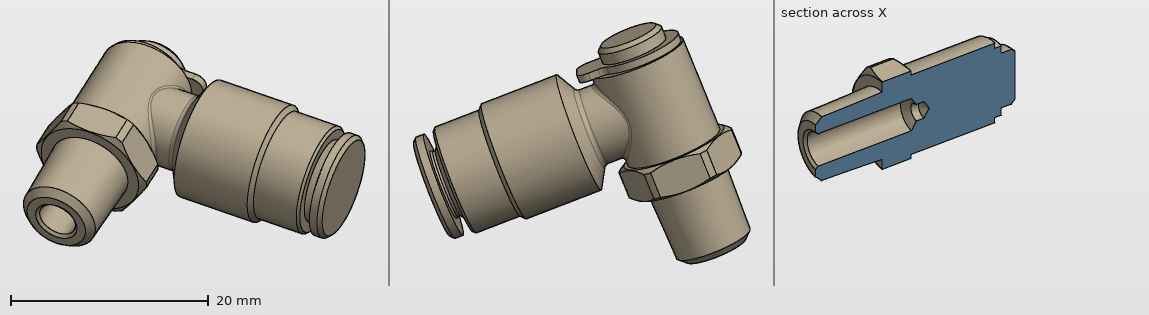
import cadquery as cq
import math


CAP_TOP = 7.52
CLIP_TOP = 5.87
BODY_TOP = 5.08
HEX_TOP = -4.95
HEX_BOTTOM = -8.5
STEM_LENGTH = 24.0
STEM_BOTTOM = CAP_TOP - STEM_LENGTH

CAP_DIA = 6.9
CAP_CHAMFER = 0.45
BODY_DIA = 10.0
HEX_FLATS = 11.0
HEX_CORNER_DIA = 12.25
HEX_FACE_DIA = 10.87
HEX_CHAMFER_ANGLE = 30
THREAD_DIA = 8.5
THREAD_TAPER = 1 / 16
THREAD_END_DIA = 6.5
THREAD_CHAMFER = 0.73

BORE_DIA = 4.0
BORE_MOUTH_DIA = 4.6
PILOT_DIA = 2.0
PILOT_DEPTH = 0.9
DRILL_POINT_ANGLE = 118

CLIP_RADIUS = 4.38
CLIP_CENTER_X = -0.4
TAB_END_X = 6.27
TAB_HALF_WIDTH = 2.3
TAB_CORNER_RADIUS = 1.25
TAB_ROOT_RADIUS = 1.2

SLEEVE_END = 30.45 - HEX_CORNER_DIA / 2
CONE_END = 8.35
SHOULDER_START = 16.5
SHOULDER_END = 16.95
COLLAR_END = 22.0
COLLAR_CHAMFER = 0.27
GROOVE_START = 22.55
GROOVE_END = 22.83
FLANGE_START = 23.07
FLANGE_CHAMFER = 0.4

NECK_DIA = 8.0
SLEEVE_DIA = 12.5
COLLAR_DIA = 11.5
GROOVE_MOUTH_DIA = 8.83
GROOVE_DIA = 7.1
GROOVE_RIM_DIA = 7.35
FLANGE_DIA = 11.0
CONE_ANGLE = 60
NECK_CONE_FILLET = 0.6
NECK_BODY_FILLET = 0.37


def turned_y(points):
    """Revolve an outline of (radius, y) points about the Y axis."""
    return cq.Workplane("XY").polyline(points).close().revolve(360, (0, 0, 0), (0, 1, 0))


def rod_y(diameter, bottom, top):
    """Plain cylinder along Y."""
    return turned_y([(0, bottom), (diameter / 2, bottom), (diameter / 2, top), (0, top)])


def make_cap():
    radius = CAP_DIA / 2
    return turned_y([
        (0, BODY_TOP),
        (radius, BODY_TOP),
        (radius, CAP_TOP - CAP_CHAMFER),
        (radius - CAP_CHAMFER, CAP_TOP),
        (0, CAP_TOP),
    ])


def make_clip():
    thickness = CLIP_TOP - BODY_TOP
    root_center_z = TAB_HALF_WIDTH + TAB_ROOT_RADIUS
    root_center_dx = math.sqrt((CLIP_RADIUS + TAB_ROOT_RADIUS) ** 2 - root_center_z ** 2)
    root_x = CLIP_CENTER_X + root_center_dx
    touch_ratio = CLIP_RADIUS / (CLIP_RADIUS + TAB_ROOT_RADIUS)
    touch_x = CLIP_CENTER_X + root_center_dx * touch_ratio
    touch_z = root_center_z * touch_ratio
    corner_x = TAB_END_X - TAB_CORNER_RADIUS
    corner_z = TAB_HALF_WIDTH - TAB_CORNER_RADIUS
    outline = (
        cq.Workplane("XZ")
        .moveTo(touch_x, touch_z)
        .threePointArc((CLIP_CENTER_X - CLIP_RADIUS, 0), (touch_x, -touch_z))
        .radiusArc((root_x, -TAB_HALF_WIDTH), TAB_ROOT_RADIUS)
        .lineTo(corner_x, -TAB_HALF_WIDTH)
        .radiusArc((TAB_END_X, -corner_z), -TAB_CORNER_RADIUS)
        .lineTo(TAB_END_X, corner_z)
        .radiusArc((corner_x, TAB_HALF_WIDTH), -TAB_CORNER_RADIUS)
        .lineTo(root_x, TAB_HALF_WIDTH)
        .radiusArc((touch_x, touch_z), TAB_ROOT_RADIUS)
        .close()
    )
    return outline.extrude(-thickness).translate((0, BODY_TOP, 0))


def make_hex():
    height = HEX_TOP - HEX_BOTTOM
    corner_diameter = HEX_FLATS / math.cos(math.radians(30))
    prism = (
        cq.Workplane("XZ", origin=(0, HEX_TOP, 0))
        .polygon(6, corner_diameter)
        .extrude(height)
    )
    face_radius = HEX_FACE_DIA / 2
    corner_radius = HEX_CORNER_DIA / 2
    drop = (corner_radius - face_radius) * math.tan(math.radians(HEX_CHAMFER_ANGLE))
    blank = turned_y([
        (0, HEX_BOTTOM),
        (face_radius, HEX_BOTTOM),
        (corner_radius, HEX_BOTTOM + drop),
        (corner_radius, HEX_TOP - drop),
        (face_radius, HEX_TOP),
        (0, HEX_TOP),
    ])
    return prism.intersect(blank)


def make_thread():
    chamfer_y = STEM_BOTTOM + THREAD_CHAMFER
    chamfer_dia = THREAD_DIA - (HEX_BOTTOM - chamfer_y) * THREAD_TAPER
    return turned_y([
        (0, HEX_BOTTOM),
        (THREAD_DIA / 2, HEX_BOTTOM),
        (chamfer_dia / 2, chamfer_y),
        (THREAD_END_DIA / 2, STEM_BOTTOM),
        (0, STEM_BOTTOM),
    ])


def make_bore():
    """Countersunk drilled bore that continues as a small pilot hole with a drill point."""
    slope = math.tan(math.radians(DRILL_POINT_ANGLE / 2))
    bore_radius = BORE_DIA / 2
    mouth_radius = BORE_MOUTH_DIA / 2
    pilot_radius = PILOT_DIA / 2
    bore_end = HEX_TOP
    pilot_start = bore_end + (bore_radius - pilot_radius) / slope
    pilot_end = pilot_start + PILOT_DEPTH
    return turned_y([
        (0, STEM_BOTTOM),
        (mouth_radius, STEM_BOTTOM),
        (bore_radius, STEM_BOTTOM + mouth_radius - bore_radius),
        (bore_radius, bore_end),
        (pilot_radius, pilot_start),
        (pilot_radius, pilot_end),
        (0, pilot_end + pilot_radius / slope),
    ])


def make_body_with_neck():
    """Round body and side neck, blended where they meet."""
    body = rod_y(BODY_DIA, HEX_TOP, BODY_TOP)
    neck = cq.Workplane("YZ").circle(NECK_DIA / 2).extrude(SHOULDER_START)
    joined = body.union(neck)
    reach = BODY_DIA / 2 + NECK_BODY_FILLET
    half_box = NECK_DIA / 2 + NECK_BODY_FILLET
    seam_box = cq.selectors.BoxSelector((0, -half_box, -half_box), (reach, half_box, half_box))
    return joined.edges(seam_box).fillet(NECK_BODY_FILLET)


def make_sleeve():
    neck_radius = NECK_DIA / 2
    sleeve_radius = SLEEVE_DIA / 2
    slope = math.radians(CONE_ANGLE)
    cone_start = CONE_END - (sleeve_radius - neck_radius) / math.tan(slope)
    tangent = NECK_CONE_FILLET * math.tan(slope / 2)
    fillet_start = (cone_start - tangent, neck_radius)
    fillet_end = (cone_start + tangent * math.cos(slope), neck_radius + tangent * math.sin(slope))
    collar_radius = COLLAR_DIA / 2
    flange_radius = FLANGE_DIA / 2
    return (
        cq.Workplane("XY")
        .moveTo(fillet_start[0], 0)
        .lineTo(*fillet_start)
        .radiusArc(fillet_end, -NECK_CONE_FILLET)
        .lineTo(CONE_END, sleeve_radius)
        .lineTo(SHOULDER_START, sleeve_radius)
        .lineTo(SHOULDER_END, collar_radius)
        .lineTo(COLLAR_END - COLLAR_CHAMFER, collar_radius)
        .lineTo(COLLAR_END, collar_radius - COLLAR_CHAMFER)
        .lineTo(COLLAR_END, GROOVE_MOUTH_DIA / 2)
        .lineTo(GROOVE_START, GROOVE_DIA / 2)
        .lineTo(GROOVE_END, GROOVE_DIA / 2)
        .lineTo(FLANGE_START, GROOVE_RIM_DIA / 2)
        .lineTo(FLANGE_START, flange_radius)
        .lineTo(SLEEVE_END - FLANGE_CHAMFER, flange_radius)
        .lineTo(SLEEVE_END, flange_radius - FLANGE_CHAMFER)
        .lineTo(SLEEVE_END, 0)
        .close()
        .revolve(360, (0, 0, 0), (1, 0, 0))
    )


result = (
    make_body_with_neck()
    .union(make_sleeve())
    .union(make_clip())
    .union(make_cap())
    .union(make_hex())
    .union(make_thread())
    .cut(make_bore())
)